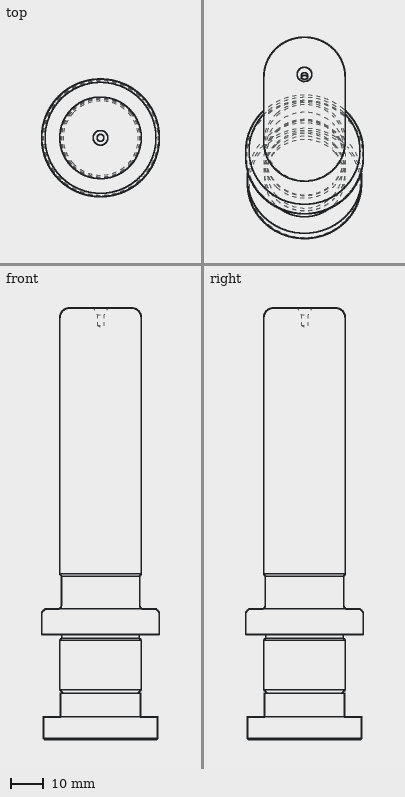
import cadquery as cq
import math

total_height = 132.0

flange_radius = 35.0 / 2
flange_thickness = 7.0
flange_chamfer = 0.5
hub_radius = 12.3
hub_top = 14.3

pin_radius = 25.0 / 2
foot_chamfer_width = 1.0
foot_chamfer_height = 1.0
nose_fillet = 3.0

collar_radius = 36.0 / 2
collar_bottom = 32.1
collar_thickness = 7.9
collar_top = collar_bottom + collar_thickness
collar_top_chamfer = 1.0
collar_edge_fillet = 0.8
collar_bottom_chamfer = 0.3

collar_edge_height = collar_top - collar_top_chamfer
edge_box = 2 * collar_radius
edge_margin = 0.1

undercut_radius = 11.9
undercut_chamfer = pin_radius - undercut_radius
undercut_bottom = 30.5

neck_radius = 12.0
neck_fillet = 1.0
neck_top = 50.0
neck_shoulder_height = 0.7

centre_hole_radius = 1.0
centre_hole_depth = 5.3
countersink_radius = 2.2
countersink_angle = 60.0
drill_point_angle = 118.0


def make_base():
    """Flange and hub, with the lower rim chamfered."""
    flange = cq.Workplane("XY").circle(flange_radius).extrude(flange_thickness)
    flange = flange.faces("<Z").edges().chamfer(flange_chamfer)
    hub = cq.Workplane("XY").circle(hub_radius).extrude(hub_top)
    return flange.union(hub)


def make_pin_blank():
    """Revolved pin with its collar, undercut, neck and shoulder."""
    outline = (
        cq.Workplane("XZ")
        .moveTo(0, hub_top)
        .lineTo(pin_radius - foot_chamfer_width, hub_top)
        .lineTo(pin_radius, hub_top + foot_chamfer_height)
        .lineTo(pin_radius, undercut_bottom)
        .lineTo(undercut_radius, undercut_bottom + undercut_chamfer)
        .lineTo(undercut_radius, collar_bottom)
        .lineTo(collar_radius - collar_bottom_chamfer, collar_bottom)
        .lineTo(collar_radius, collar_bottom + collar_bottom_chamfer)
        .lineTo(collar_radius, collar_edge_height)
        .lineTo(collar_radius - collar_top_chamfer, collar_top)
        .lineTo(neck_radius + neck_fillet, collar_top)
        .radiusArc((neck_radius, collar_top + neck_fillet), neck_fillet)
        .lineTo(neck_radius, neck_top)
        .lineTo(pin_radius, neck_top + neck_shoulder_height)
        .lineTo(pin_radius, total_height)
        .lineTo(0, total_height)
        .close()
    )
    return outline.revolve(360, (0, 0, 0), (0, 1, 0))


def cone_height(large_radius, small_radius, included_angle):
    """Axial length of a cone between two radii."""
    return (large_radius - small_radius) / math.tan(math.radians(included_angle / 2))


def make_centre_hole():
    """Countersunk drilled hole with a conical end, open at the nose."""
    countersink_bottom = total_height - cone_height(
        countersink_radius, centre_hole_radius, countersink_angle
    )
    drill_shoulder = total_height - centre_hole_depth
    drill_tip = drill_shoulder - cone_height(centre_hole_radius, 0, drill_point_angle)
    outline = (
        cq.Workplane("XZ")
        .moveTo(0, total_height)
        .lineTo(countersink_radius, total_height)
        .lineTo(centre_hole_radius, countersink_bottom)
        .lineTo(centre_hole_radius, drill_shoulder)
        .lineTo(0, drill_tip)
        .close()
    )
    return outline.revolve(360, (0, 0, 0), (0, 1, 0))


def make_pin():
    """Pin with a rounded nose, a softened collar rim and a centre hole."""
    pin = make_pin_blank().faces(">Z").edges().fillet(nose_fillet)
    collar_edge = cq.selectors.BoxSelector(
        (-edge_box, -edge_box, collar_edge_height - edge_margin),
        (edge_box, edge_box, collar_edge_height + edge_margin),
    )
    pin = pin.edges(collar_edge).edges("%CIRCLE").fillet(collar_edge_fillet)
    return pin.cut(make_centre_hole())


base = make_base()
pin = make_pin()

result = cq.Compound.makeCompound([base.val(), pin.val()])